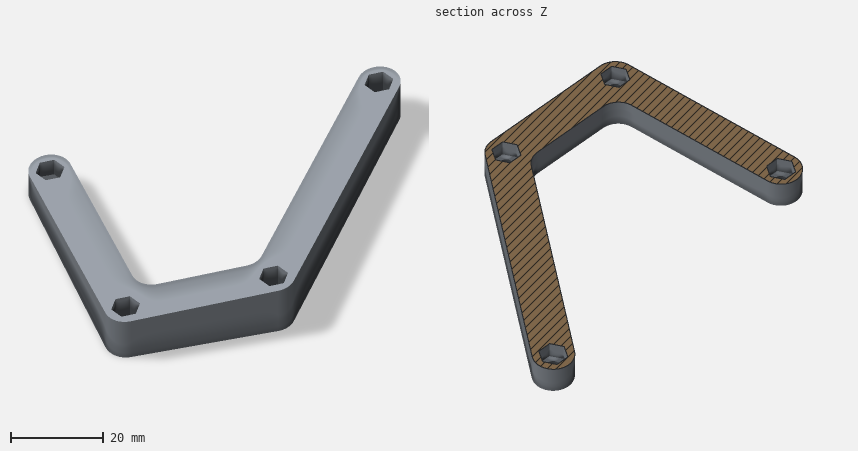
import cadquery as cq
import math

low_end = (0, 0)
low_corner = (42.2, -17.4)
high_corner = (58.8, 11.1)
high_end = (32.5, 67.55)
screws = [low_end, low_corner, high_corner, high_end]

arm_radius = 4.7
inner_fillet = 4.7
top_angle = 5.0
max_height = 13.3
screw_diameter = 3.1
nut_across_corners = 6.4
nut_floor = 2.8

tallest_x = high_corner[0] + arm_radius
lowest_x = low_end[0] - arm_radius


def arm_segment(start, end):
    """Straight bar with round ends centred on two screws."""
    dx = end[0] - start[0]
    dy = end[1] - start[1]
    length = math.hypot(dx, dy)
    return (
        cq.Workplane("XY")
        .slot2D(length + 2 * arm_radius, 2 * arm_radius)
        .extrude(max_height)
        .rotate((0, 0, 0), (0, 0, 1), math.degrees(math.atan2(dy, dx)))
        .translate(((start[0] + end[0]) / 2, (start[1] + end[1]) / 2, 0))
    )


def inside_corner(before, corner, after):
    """Point where the inner walls of two neighbouring segments meet."""
    angle_before = math.atan2(before[1] - corner[1], before[0] - corner[0])
    angle_after = math.atan2(after[1] - corner[1], after[0] - corner[0])
    half_angle = (angle_before - angle_after) / 2
    bisector = (angle_before + angle_after) / 2
    reach = arm_radius / math.sin(half_angle)
    return (corner[0] + reach * math.cos(bisector), corner[1] + reach * math.sin(bisector))


body = arm_segment(screws[0], screws[1])
for start, end in zip(screws[1:], screws[2:]):
    body = body.union(arm_segment(start, end))

for before, corner, after in zip(screws, screws[1:], screws[2:]):
    x, y = inside_corner(before, corner, after)
    edge = cq.selectors.NearestToPointSelector((x, y, max_height / 2))
    body = body.edges("|Z").edges(edge).fillet(inner_fillet)

low_height = max_height - (tallest_x - lowest_x) * math.tan(math.radians(top_angle))
half_span = 188.7
envelope = (
    cq.Workplane("XZ")
    .polyline([(lowest_x, 0), (tallest_x, 0), (tallest_x, max_height), (lowest_x, low_height)])
    .close()
    .extrude(half_span, both=True)
)
body = body.intersect(envelope)

holes = cq.Workplane("XY").pushPoints(screws).circle(screw_diameter / 2).extrude(max_height)
nut_pockets = (
    cq.Workplane("XY", origin=(0, 0, nut_floor))
    .pushPoints(screws)
    .polygon(6, nut_across_corners)
    .extrude(max_height)
)

result = body.cut(holes).cut(nut_pockets)